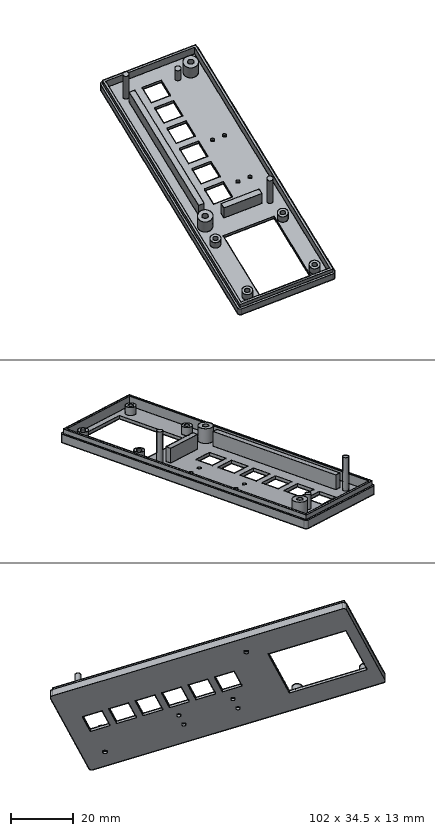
import cadquery as cq

length = 102.0
width = 34.5
corner_radius = 1.0
floor_thickness = 1.2
base_height = 3.0

lip_inset = 0.7
cavity_inset = 1.5
lip_height = 4.6

board_left = 7.5
board_front = 5.75
board_pitch_x = 58.0
board_pitch_y = 23.0
board_right = board_left + board_pitch_x
board_back = board_front + board_pitch_y
support_height = 6.4
boss_diameter = 5.0
boss_hole_diameter = 1.99
floor_hole_diameter = 1.5
pin_diameter = 2.0
pin_height = 13.0
rest_pin_centre = (8.1, 23.9)

rib_thickness = 2.0
long_rib_start = (10.0, 5.7)
long_rib_length = 50.8
short_rib_start = (63.25, 12.5)
short_rib_length = 13.5

button_count = 6
button_size = 6.8
button_pitch = 9.1
button_start = (6.45, 12.0)

light_hole_diameter = 1.3
light_columns = (35.25, 53.9)
light_rows = (23.0, 27.25)

window_start = (71.6, 9.2)
window_size = (26.8, 18.1)
standoff_left = 73.45
standoff_front = 5.55
standoff_pitch_x = 23.3
standoff_pitch_y = 23.9
standoff_diameter = 3.5
standoff_hole_diameter = 1.7
standoff_height = 4.0


def block(start, size_x, size_y, bottom, top):
    """Box with its lowest X, Y corner at start, between two heights."""
    box = cq.Workplane("XY").box(size_x, size_y, top - bottom, centered=False)
    return box.translate((start[0], start[1], bottom))


def posts(centres, diameter, bottom, top):
    """Upright cylinders at the given centres, between two heights."""
    plane = cq.Workplane("XY").workplane(offset=bottom)
    return plane.pushPoints(centres).circle(diameter / 2).extrude(top - bottom)


def inset_block(inset, bottom, top):
    """Box that follows the outer outline at a constant inset."""
    return block((inset, inset), length - 2 * inset, width - 2 * inset, bottom, top)


def make_tray():
    base = inset_block(0, 0, base_height).edges("|Z").fillet(corner_radius)
    lip = inset_block(lip_inset, 0, lip_height)
    cavity = inset_block(cavity_inset, floor_thickness, lip_height)
    return base.union(lip).cut(cavity)


def cut_buttons(body):
    for index in range(button_count):
        start = (button_start[0] + index * button_pitch, button_start[1])
        body = body.cut(block(start, button_size, button_size, 0, floor_thickness))
    return body


def cut_lights(body):
    centres = [(x, y) for x in light_columns for y in light_rows]
    return body.cut(posts(centres, light_hole_diameter, 0, floor_thickness))


def add_display_mount(body):
    body = body.cut(block(window_start, window_size[0], window_size[1], 0, floor_thickness))
    columns = (standoff_left, standoff_left + standoff_pitch_x)
    rows = (standoff_front, standoff_front + standoff_pitch_y)
    centres = [(x, y) for x in columns for y in rows]
    body = body.union(posts(centres, standoff_diameter, 0, standoff_height))
    return body.cut(posts(centres, standoff_hole_diameter, floor_thickness, standoff_height))


def add_board_supports(body):
    boss_centres = [(board_left, board_back), (board_right, board_front)]
    pin_centres = [(board_left, board_front), (board_right, board_back)]
    body = body.union(posts(boss_centres, boss_diameter, 0, support_height))
    body = body.cut(posts(boss_centres, boss_hole_diameter, floor_thickness, support_height))
    body = body.cut(posts(boss_centres, floor_hole_diameter, 0, floor_thickness))
    body = body.union(posts(pin_centres, pin_diameter, 0, pin_height))
    return body.union(posts([rest_pin_centre], pin_diameter, 0, support_height))


def add_ribs(body):
    long_rib = block(long_rib_start, long_rib_length, rib_thickness, 0, support_height)
    short_rib = block(short_rib_start, rib_thickness, short_rib_length, 0, support_height)
    return body.union(long_rib).union(short_rib)


result = make_tray()
result = cut_buttons(result)
result = cut_lights(result)
result = add_display_mount(result)
result = add_board_supports(result)
result = add_ribs(result)